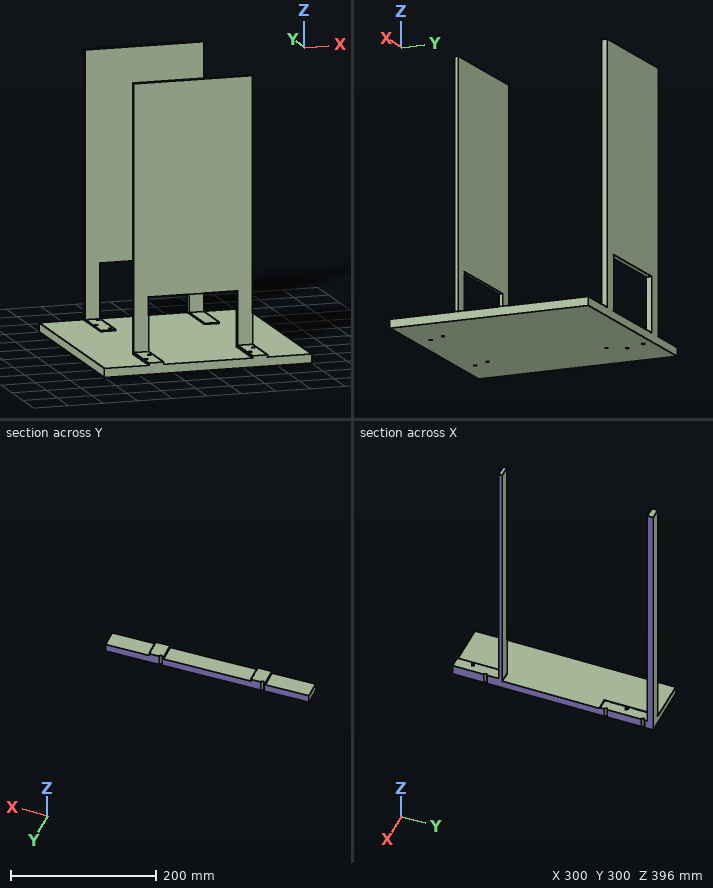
import cadquery as cq

base_side = 300.0
base_thickness = 13.0
total_height = 396.0

panel_width = 171.5
leg_width = 21.5
opening_top = 93.0
front_panel_thickness = 6.0
rear_panel_thickness = 9.0

front_foot_length = 69.0
front_foot_thickness = 3.0
rear_foot_length = 71.0
rear_foot_thickness = 1.5

hole_diameter = 4.0
outer_hole_inset = 4.5
inner_hole_inset = 16.2
front_holes = [(inner_hole_inset, 19.5), (outer_hole_inset, 43.0)]
rear_holes = [(inner_hole_inset, 6.5), (outer_hole_inset, 35.5), (inner_hole_inset, 61.8)]

front_panel_face = -base_side / 2 + front_foot_length
rear_panel_face = base_side / 2 - rear_panel_thickness
left_leg = -panel_width / 2
right_leg = panel_width / 2 - leg_width


def block(x, y, z, width, depth, height):
    """Box placed by its lowest X, Y, Z corner."""
    return cq.Workplane("XY").box(width, depth, height, centered=False).translate((x, y, z))


def make_panel(face_y, thickness):
    """Upright panel with a central opening that leaves a leg on each side."""
    panel = block(left_leg, face_y, base_thickness, panel_width, thickness, total_height - base_thickness)
    opening_width = panel_width - 2 * leg_width
    opening = block(
        -opening_width / 2, face_y, base_thickness, opening_width, thickness, opening_top - base_thickness
    )
    return panel.cut(opening)


def make_foot(leg_x, face_y, length, thickness):
    """Flat foot running forward from the bottom of a leg."""
    return block(leg_x, face_y - length, base_thickness, leg_width, length, thickness)


def make_drills(leg_x, face_y, thickness, holes):
    """Cylinders for the screw holes through a foot and the base below it."""
    centres = [(leg_x + inset, face_y - distance) for inset, distance in holes]
    return cq.Workplane("XY").pushPoints(centres).circle(hole_diameter / 2).extrude(base_thickness + thickness)


result = block(-base_side / 2, -base_side / 2, 0, base_side, base_side, base_thickness)

result = result.union(make_panel(front_panel_face, front_panel_thickness))
result = result.union(make_panel(rear_panel_face, rear_panel_thickness))

for leg_x in (left_leg, right_leg):
    result = result.union(make_foot(leg_x, front_panel_face, front_foot_length, front_foot_thickness))
    result = result.union(make_foot(leg_x, rear_panel_face, rear_foot_length, rear_foot_thickness))

for leg_x in (left_leg, right_leg):
    result = result.cut(make_drills(leg_x, front_panel_face, front_foot_thickness, front_holes))
result = result.cut(make_drills(left_leg, rear_panel_face, rear_foot_thickness, rear_holes))